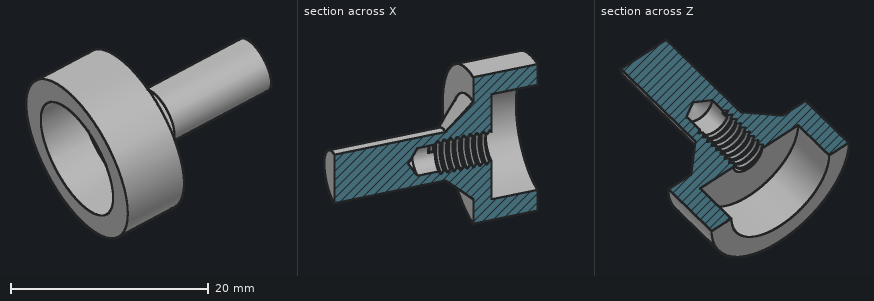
import cadquery as cq
import math

total_length = 22.0
head_diameter = 18.0
head_length = 7.0
shank_diameter = 6.0
cone_length = 3.0
pocket_diameter = 12.8
pocket_depth = 5.0

bore_diameter = 3.32
thread_diameter = 4.11
thread_pitch = 0.7
crest_width = 0.18
bore_depth = 8.0
drill_point_angle = 118.0
thread_length = 6.0
cut_overlap = 0.02

head_radius = head_diameter / 2
shank_radius = shank_diameter / 2
cone_base_radius = shank_radius + cone_length
bore_radius = bore_diameter / 2
thread_radius = thread_diameter / 2


def revolve_about_y(points):
    """Revolve a closed (radius, Y) outline about the Y axis."""
    return cq.Workplane("XY").polyline(points).close().revolve(360, (0, 0), (0, 1))


def make_body():
    cone_end = head_length + cone_length
    return revolve_about_y([
        (0, 0),
        (head_radius, 0),
        (head_radius, head_length),
        (cone_base_radius, head_length),
        (shank_radius, cone_end),
        (shank_radius, total_length),
        (0, total_length),
    ])


def make_pocket():
    pocket_radius = pocket_diameter / 2
    return revolve_about_y([
        (0, 0),
        (pocket_radius, 0),
        (pocket_radius, pocket_depth),
        (0, pocket_depth),
    ])


def make_bore():
    bore_end = pocket_depth + bore_depth
    point_length = bore_radius / math.tan(math.radians(drill_point_angle / 2))
    return revolve_about_y([
        (0, pocket_depth),
        (bore_radius, pocket_depth),
        (bore_radius, bore_end),
        (0, bore_end + point_length),
    ])


def make_thread_groove():
    """Sweep a V along a helix, with its root on the -X side at the pocket floor."""
    start = pocket_depth - thread_pitch
    inner_radius = bore_radius - cut_overlap
    wall_half_width = (thread_pitch - crest_width) / 2
    flank_slope = wall_half_width / (thread_radius - bore_radius)
    half_width = flank_slope * (thread_radius - inner_radius)
    helix = cq.Wire.makeHelix(
        thread_pitch, thread_length + thread_pitch, bore_radius,
        center=cq.Vector(0, start, 0), dir=cq.Vector(0, 1, 0),
    )
    origin = helix.startPoint()
    outward = cq.Vector(origin.x, 0, origin.z).normalized()
    profile_plane = cq.Plane(
        origin=(0, start, 0), xDir=outward.toTuple(),
        normal=outward.cross(cq.Vector(0, 1, 0)).toTuple(),
    )
    groove = (
        cq.Workplane(profile_plane)
        .polyline([(inner_radius, -half_width), (thread_radius, 0), (inner_radius, half_width)])
        .close()
        .sweep(cq.Workplane(obj=helix), isFrenet=True)
    )
    root_angle = math.degrees(math.atan2(-outward.z, outward.x))
    return groove.rotate((0, 0, 0), (0, 1, 0), 180 - root_angle)


result = make_body().cut(make_pocket()).cut(make_bore()).cut(make_thread_groove()).solids()